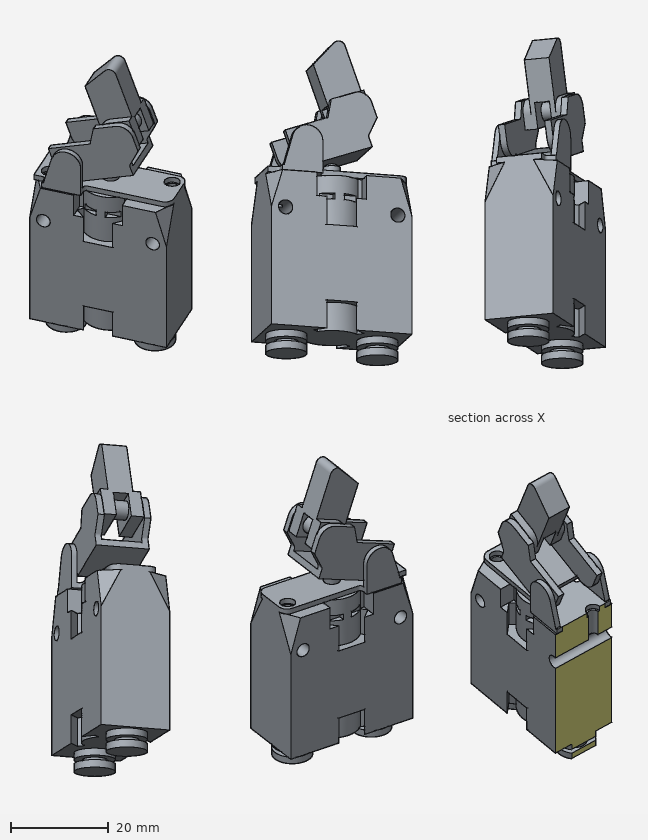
import cadquery as cq
import math

housing_length = 30.0
housing_width = 15.0
housing_height = 33.0
half_length = housing_length / 2
half_width = housing_width / 2

corner_cut_x = 2.4
corner_cut_y = 4.3
corner_cut_z = 8.0

cross_hole_diameter = 3.0
cross_hole_x = 12.0
cross_hole_z = 25.1

core_radius = 6.0
recess_width = 10.65
recess_depth = 3.5
recess_height = 5.0
recess_floor_z = housing_height - recess_height
slot_width = 6.3
slot_height = 6.0
slot_undercut = (recess_width - slot_width) / 2
core_rib_width = 2.0
core_notch_y = 4.5
core_notch_height = 1.25

foot_x = 9.7
foot_diameter = 8.5
foot_neck_diameter = 5.0
foot_flange_height = 1.45
foot_neck_height = 0.9
foot_pad_height = 1.6

pivot_x = -7.2
pivot_z = 39.7

plate_thickness = 1.2
plate_half_width = 5.0
plate_corner_radius = 2.0
plate_notch_radius = 0.65
ear_half_width = 7.1
ear_radius = 3.25
ear_slant = math.radians(16)
ear_tangent_x = pivot_x - ear_radius * math.cos(ear_slant)
ear_tangent_z = pivot_z + ear_radius * math.sin(ear_slant)
ear_left_x = ear_tangent_x - (ear_tangent_z - housing_height) * math.tan(ear_slant)
ear_right_x = pivot_x + ear_radius

screw_x = 12.5
screw_y = 2.5
screw_head_diameter = 3.25
screw_hole_diameter = 2.45
screw_hole_depth = 9.0

plunger_diameter = 3.5
plunger_shoulder_z = 36.2
plunger_dome_height = 0.8

lever_tilt = 20
lever_shift_y = 0.1
lever_half_width = 5.8
arm_thickness = 1.4
arm_end_radius = 3.3
arm_top = 3.6
arm_bottom = -4.85
arm_step = 6.4
arm_crown_start = 8.4
arm_crown = 7.05
arm_foot_end = 13.4
arm_nose = 16.5
arm_nose_bottom = 0.65
arm_nose_radius = 3.0
arm_relief_radius = 0.8
web_start = 1.3
web_thickness = 1.5

head_left = 8.3
head_right = 16.25
head_top = 7.2
head_bottom = 1.05
head_radius = 3.0
tip_half_width = 2.7
tip_shoulder = 15.5
tip_slope = math.radians(28.2)
tip_radius = 1.4
head_slot_width = 3.25
head_slot_top = 6.5
head_pin_diameter = 4.0


def box_between(x, y, z):
    """Axis-aligned box from the (low, high) pairs of its three directions."""
    size = (x[1] - x[0], y[1] - y[0], z[1] - z[0])
    return cq.Workplane("XY").box(*size, centered=False).translate((x[0], y[0], z[0]))


def on_both_sides(shape):
    """The shape together with its mirror image across the XZ plane."""
    return shape.union(shape.mirror("XZ"))


def corner_wedge(side_x, side_y):
    """Block lying outside the slanted plane that bevels one upper corner of the housing."""
    cut_start = (side_x * (half_length - corner_cut_x), side_y * half_width, housing_height)
    outward = (side_x / corner_cut_x, side_y / corner_cut_y, 1 / corner_cut_z)
    edge_direction = (side_x * corner_cut_x, -side_y * corner_cut_y, 0)
    slant = cq.Plane(origin=cut_start, xDir=edge_direction, normal=outward)
    return cq.Workplane(slant).rect(housing_width, housing_height).extrude(housing_width)


def undercut_slot(bottom_z):
    """Slot in the -Y side: widens at 45 degrees, then closes at 45 degrees behind the core surface."""
    half_mouth = slot_width / 2
    half_waist = half_mouth + slot_undercut
    waist_y = -half_width + slot_undercut
    return (
        cq.Workplane("XY", origin=(0, 0, bottom_z))
        .polyline([
            (-half_mouth, -half_width),
            (half_mouth, -half_width),
            (half_waist, waist_y),
            (0, waist_y + half_waist),
            (-half_waist, waist_y),
        ])
        .close()
        .extrude(slot_height)
    )


def side_cutout():
    """Everything removed from the -Y side: upper recess, two slots and the notches in the core."""
    core = cq.Workplane("XY").circle(core_radius).extrude(housing_height)
    recess = box_between(
        (-recess_width / 2, recess_width / 2),
        (-half_width, -half_width + recess_depth),
        (recess_floor_z, housing_height),
    )
    cutout = recess.cut(core)
    for bottom_z in (0, recess_floor_z - slot_height):
        cutout = cutout.union(undercut_slot(bottom_z).cut(core))
    for side in (-1, 1):
        x_range = sorted((side * core_rib_width / 2, side * recess_width / 2))
        notch = box_between(
            x_range,
            (-half_width, -core_notch_y),
            (recess_floor_z, recess_floor_z + core_notch_height),
        )
        cutout = cutout.union(notch)
    return cutout


def foot(x):
    """Stepped round foot hanging below the housing."""
    return (
        cq.Workplane("XY", origin=(x, 0, 0))
        .circle(foot_diameter / 2)
        .extrude(-foot_flange_height)
        .faces("<Z").workplane()
        .circle(foot_neck_diameter / 2)
        .extrude(foot_neck_height)
        .faces("<Z").workplane()
        .circle(foot_diameter / 2)
        .extrude(foot_pad_height)
    )


def ear():
    """Upright ear on the -Y side, round at the top and slanted on its left edge."""
    return (
        cq.Workplane("XZ", origin=(0, -ear_half_width + plate_thickness, 0))
        .moveTo(ear_left_x, housing_height)
        .lineTo(ear_tangent_x, ear_tangent_z)
        .threePointArc((pivot_x, pivot_z + ear_radius), (ear_right_x, pivot_z))
        .lineTo(ear_right_x, housing_height)
        .close()
        .extrude(plate_thickness)
    )


def bracket():
    """Top plate, widened where the ears stand, together with the ears."""
    z_range = (housing_height, housing_height + plate_thickness)
    strip = box_between((-half_length, half_length), (-plate_half_width, plate_half_width), z_range)
    strip = strip.edges("|Z and >X").fillet(plate_corner_radius)
    ear_base = box_between((ear_left_x, ear_right_x), (-ear_half_width, ear_half_width), z_range)
    middle_z = housing_height + plate_thickness / 2
    plate = strip.union(ear_base)
    inner_corners = [
        plate.edges(cq.selectors.NearestToPointSelector((x, y, middle_z))).val()
        for x in (ear_left_x, ear_right_x)
        for y in (-plate_half_width, plate_half_width)
    ]
    plate = plate.newObject(inner_corners).fillet(plate_notch_radius)
    return plate.union(on_both_sides(ear()))


def plunger():
    """Round push rod with a domed end."""
    radius = plunger_diameter / 2
    dome_radius = (radius**2 + plunger_dome_height**2) / (2 * plunger_dome_height)
    tip_z = plunger_shoulder_z + plunger_dome_height
    half_angle = math.asin(radius / dome_radius) / 2
    dome_middle = (
        dome_radius * math.sin(half_angle),
        tip_z - dome_radius * (1 - math.cos(half_angle)),
    )
    return (
        cq.Workplane("XZ")
        .moveTo(0, housing_height)
        .lineTo(radius, housing_height)
        .lineTo(radius, plunger_shoulder_z)
        .threePointArc(dome_middle, (0, tip_z))
        .close()
        .revolve(360, (0, 0, 0), (0, 1, 0))
    )


def make_housing():
    body = box_between((-half_length, half_length), (-half_width, half_width), (0, housing_height))
    for side_x in (-1, 1):
        for side_y in (-1, 1):
            body = body.cut(corner_wedge(side_x, side_y))
    body = body.cut(on_both_sides(side_cutout()))

    cross_holes = (
        cq.Workplane("XZ", origin=(0, half_width, 0))
        .pushPoints([(-cross_hole_x, cross_hole_z), (cross_hole_x, cross_hole_z)])
        .circle(cross_hole_diameter / 2)
        .extrude(housing_width)
    )
    body = body.cut(cross_holes).union(bracket())

    screw_places = [(-screw_x, -screw_y), (screw_x, screw_y)]
    screw_seats = cq.Workplane("XY", origin=(0, 0, housing_height)).pushPoints(screw_places)
    body = body.cut(screw_seats.circle(screw_head_diameter / 2).extrude(plate_thickness))
    body = body.cut(screw_seats.circle(screw_hole_diameter / 2).extrude(-screw_hole_depth))

    for x in (-foot_x, foot_x):
        body = body.union(foot(x))
    return body.union(plunger())


def lever_layer(half_thickness):
    """Workplane in the lever's side profile, at the +Y face of a layer centred on Y = 0."""
    return cq.Workplane("XZ", origin=(0, half_thickness, 0))


def lever_arms():
    """Cranked side profile across the whole lever, hollowed to leave two arms and a floor web."""
    arc_end_z = -math.sqrt(arm_end_radius**2 - web_start**2)
    arc_middle = arm_end_radius * math.sqrt(0.5)
    relief_z = arm_nose_bottom - (arm_nose - arm_foot_end)
    profile = (
        lever_layer(lever_half_width)
        .moveTo(-arm_end_radius, arm_top)
        .lineTo(arm_step, arm_top)
        .lineTo(arm_crown_start, arm_crown)
        .lineTo(arm_nose, arm_crown)
        .lineTo(arm_nose, arm_nose_bottom)
        .lineTo(arm_foot_end, relief_z)
        .lineTo(arm_foot_end, arm_bottom)
        .lineTo(web_start, arm_bottom)
        .lineTo(web_start, arc_end_z)
        .threePointArc((-arc_middle, -arc_middle), (-arm_end_radius, 0))
        .close()
        .extrude(2 * lever_half_width)
    )
    profile = profile.edges(cq.selectors.NearestToPointSelector((arm_nose, 0, arm_crown)))
    profile = profile.fillet(arm_nose_radius)
    profile = profile.edges(cq.selectors.NearestToPointSelector((arm_foot_end, 0, relief_z)))
    profile = profile.fillet(arm_relief_radius)
    inner_half_width = lever_half_width - arm_thickness
    hollow = box_between(
        (-arm_end_radius, arm_nose),
        (-inner_half_width, inner_half_width),
        (arm_bottom + web_thickness, arm_crown),
    )
    return profile.cut(hollow)


def lever_head():
    """Block between the arms with the narrower slanted tip, the slot and the pin across the slot."""
    inner_half_width = lever_half_width - arm_thickness
    block = box_between(
        (head_left, head_right), (-inner_half_width, inner_half_width), (head_bottom, head_top)
    )
    block = block.edges("|Y and <X and >Z").fillet(head_radius)

    peak_z = tip_shoulder + (head_right - head_left) * math.tan(tip_slope)
    tip = (
        lever_layer(tip_half_width)
        .polyline([
            (head_left, head_bottom),
            (head_right, head_bottom),
            (head_right, peak_z),
            (head_left, tip_shoulder),
        ])
        .close()
        .extrude(2 * tip_half_width)
    )
    tip = tip.edges(cq.selectors.NearestToPointSelector((head_right, 0, peak_z))).fillet(tip_radius)

    slot = box_between(
        (head_left, head_right),
        (-head_slot_width / 2, head_slot_width / 2),
        (head_bottom, head_slot_top),
    )
    pin = (
        lever_layer(inner_half_width)
        .center(arm_nose - arm_nose_radius, arm_crown - arm_nose_radius)
        .circle(head_pin_diameter / 2)
        .extrude(2 * inner_half_width)
    )
    return block.union(tip).cut(slot).union(pin)


def make_lever():
    lever = lever_arms().union(lever_head())
    lever = lever.rotate((0, 0, 0), (0, 1, 0), -lever_tilt)
    return lever.translate((pivot_x, lever_shift_y, pivot_z))


housing = make_housing()
lever = make_lever()
result = cq.Compound.makeCompound([housing.solids().val(), lever.solids().val()])